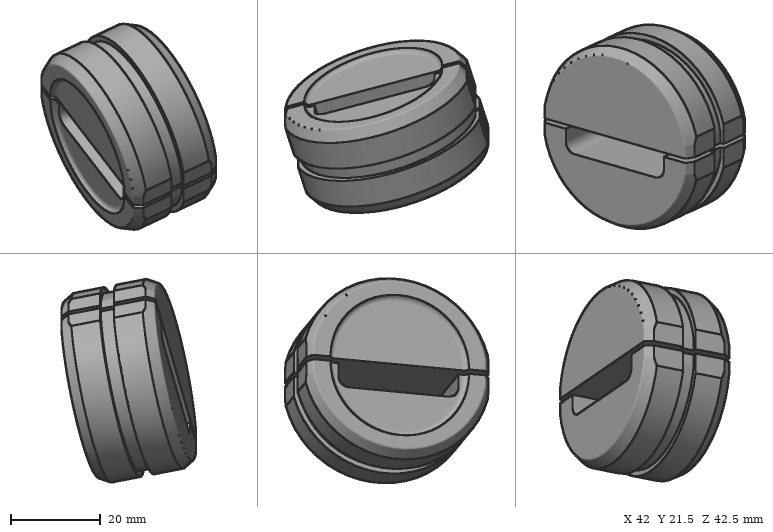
import cadquery as cq
import math

height = 42.5
width = 42.0
depth = 21.5
half_gap = 0.5

axis_offset = 0.5
rim_radius = height / 2 + axis_offset
rim_half_width = width / 2

bevel_angle = math.radians(30)
bevel_length = 2.6
edge_round = 0.5
face_radius = rim_radius - bevel_length * math.tan(bevel_angle)
face_half_width = 19.9

groove_width = 3.15
groove_radius = 20.45
groove_half_width = 20.1

recess_radius = 16.0
recess_depth = 1.0
recess_floor_radius = 14.8

slot_width = 27.7
slot_depth = 5.5
slot_corner_radius = 2.5


def edge_profile(rim, face_edge, groove_floor):
    """Half section in XY, from the centre line out to the rim, with bevels, rounded edges and groove."""
    end = depth / 2
    bevel_y = end - (rim - face_edge) / math.tan(bevel_angle)
    turn = math.pi / 2 - bevel_angle
    tangent_length = edge_round * math.tan(turn / 2)
    face_x = face_edge - tangent_length
    bevel_x = face_edge + tangent_length * math.sin(bevel_angle)
    bevel_edge_y = end - tangent_length * math.cos(bevel_angle)
    middle_x = face_x + edge_round * math.sin(turn / 2)
    middle_y = end - edge_round * (1 - math.cos(turn / 2))
    groove_y = groove_width / 2
    return (
        cq.Workplane("XY")
        .moveTo(0, -end)
        .lineTo(face_x, -end)
        .threePointArc((middle_x, -middle_y), (bevel_x, -bevel_edge_y))
        .lineTo(rim, -bevel_y)
        .lineTo(rim, -groove_y)
        .lineTo(groove_floor, -groove_y)
        .lineTo(groove_floor, groove_y)
        .lineTo(rim, groove_y)
        .lineTo(rim, bevel_y)
        .lineTo(bevel_x, bevel_edge_y)
        .threePointArc((middle_x, middle_y), (face_x, end))
        .lineTo(0, end)
        .close()
    )


def upper_blank():
    """Upper half without its recess: a turned shape trimmed by the flat sides and the mating face."""
    turned = (
        edge_profile(rim_radius, face_radius, groove_radius)
        .revolve(360, (0, 0), (0, 1))
        .translate((0, 0, -axis_offset))
    )
    right_side = (
        edge_profile(rim_half_width, face_half_width, groove_half_width)
        .extrude(height / 2)
        .translate((0, 0, half_gap))
    )
    flat_sided = right_side.union(right_side.mirror("YZ"))
    return turned.intersect(flat_sided)


def recess_cutter():
    """Round recess whose wall curves concavely into its flat floor."""
    front = -depth / 2
    floor = front + recess_depth
    run = recess_radius - recess_floor_radius
    wall_radius = (run ** 2 + recess_depth ** 2) / (2 * recess_depth)
    half_sweep = math.atan2(recess_depth, run)
    wall_middle = (
        recess_floor_radius + wall_radius * math.sin(half_sweep),
        floor - wall_radius * (1 - math.cos(half_sweep)),
    )
    return (
        cq.Workplane("XY")
        .moveTo(0, front)
        .lineTo(recess_radius, front)
        .threePointArc(wall_middle, (recess_floor_radius, floor))
        .lineTo(0, floor)
        .close()
        .revolve(360, (0, 0), (0, 1))
        .translate((0, 0, half_gap))
    )


def slot_cutter():
    """Slot along Y with rounded bottom corners."""
    return (
        cq.Workplane("XY")
        .box(slot_width, depth, 2 * slot_depth)
        .edges("|Y and <Z")
        .fillet(slot_corner_radius)
        .translate((0, 0, -half_gap))
    )


def make_upper_half():
    return upper_blank().cut(recess_cutter()).solids()


def make_lower_half():
    return make_upper_half().mirror("XY").cut(slot_cutter()).solids()


upper_half = make_upper_half()
lower_half = make_lower_half()

result = cq.Compound.makeCompound([upper_half.val(), lower_half.val()])